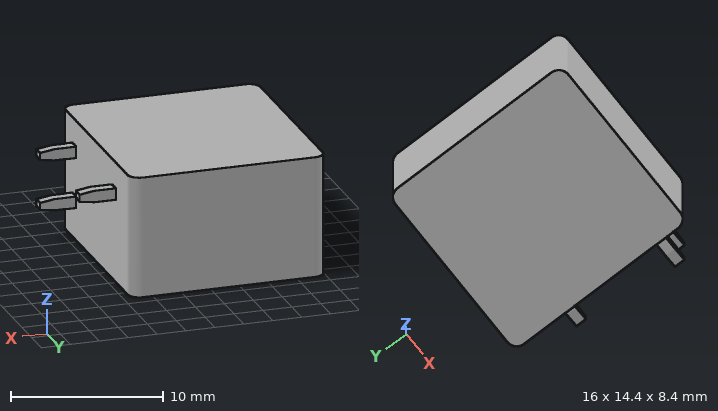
import cadquery as cq

body_length = 13.5
body_width = 14.4
body_height = 8.4
corner_radius = 0.8

pin_length = 2.5
pin_size = 0.8
tip_length = 1.0
tip_height = 0.5

near_pins_y = -4.6
pin_spacing_y = 8.2
upper_pins_z = 2.0
pin_spacing_z = 3.5

far_pin_y = near_pins_y + pin_spacing_y
lower_pin_z = upper_pins_z - pin_spacing_z
pin_positions = [
    (near_pins_y, upper_pins_z),
    (near_pins_y, lower_pin_z),
    (far_pin_y, upper_pins_z),
]


def make_body():
    """Block with its four vertical edges rounded."""
    block = cq.Workplane("XY").box(body_length, body_width, body_height)
    return block.edges("|Z").fillet(corner_radius)


def make_pin(center_y, center_z):
    """One pin standing on the +X face, centred on the given Y and Z."""
    root_x = body_length / 2
    end_x = root_x + pin_length
    taper_x = end_x - tip_length
    half_shank = pin_size / 2
    half_tip = tip_height / 2
    side_outline = [
        (root_x, center_z - half_shank),
        (taper_x, center_z - half_shank),
        (end_x, center_z - half_tip),
        (end_x, center_z + half_tip),
        (taper_x, center_z + half_shank),
        (root_x, center_z + half_shank),
    ]
    profile = cq.Workplane("XZ", origin=(0, center_y, 0)).polyline(side_outline).close()
    return profile.extrude(half_shank, both=True)


result = make_body()
for pin_y, pin_z in pin_positions:
    result = result.union(make_pin(pin_y, pin_z))